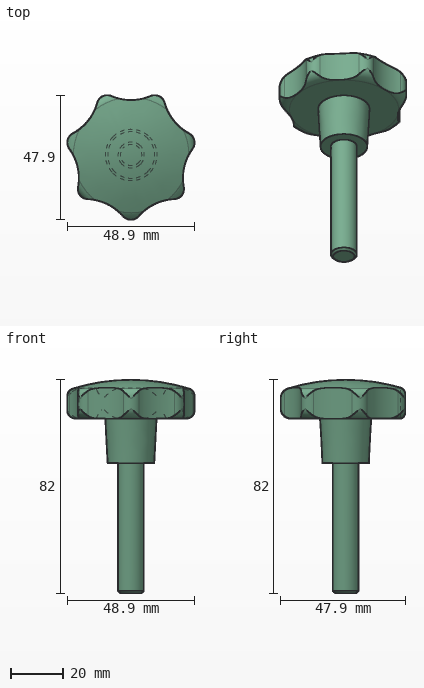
import cadquery as cq
import math


stud_diameter = 10.0
stud_length = 50.0
stud_chamfer = 0.92

hub_height = 17.0
hub_bottom_diameter = 18.0
hub_draft_angle = 3.0

head_height = 15.0
head_radius = 25.0
dome_radius = 75.0
rim_radius = 4.0

lobe_count = 7
lobe_tip_radius = 4.0
scallop_radius = 19.0
first_lobe_angle = -90.0

head_top = hub_height + head_height
lobe_pitch = 360.0 / lobe_count


def polar(radius, angle):
    """Point at a distance from the knob axis, with the angle in degrees."""
    return (radius * math.cos(math.radians(angle)), radius * math.sin(math.radians(angle)))


def point_towards(start, target, distance):
    """Point reached by moving a distance from start in the direction of target."""
    dx = target[0] - start[0]
    dy = target[1] - start[1]
    share = distance / math.hypot(dx, dy)
    return (start[0] + share * dx, start[1] + share * dy)


def make_stud():
    """Round stud with a chamfered free end, hanging below the hub."""
    stud = cq.Workplane("XY").circle(stud_diameter / 2).extrude(-stud_length)
    return stud.faces("<Z").chamfer(stud_chamfer)


def make_hub():
    """Conical hub that widens upwards to the underside of the head."""
    hub = cq.Workplane("XY").circle(hub_bottom_diameter / 2)
    return hub.extrude(hub_height, taper=-hub_draft_angle)


def make_head_blank():
    """Round domed head, with rim arcs tangent to the underside, the side and the dome."""
    rim_center_radius = head_radius - rim_radius
    dome_center_z = head_top - dome_radius
    dome_edge_angle = math.asin(rim_center_radius / (dome_radius - rim_radius))

    def dome_point(angle):
        return (dome_radius * math.sin(angle), dome_center_z + dome_radius * math.cos(angle))

    dome_edge = dome_point(dome_edge_angle)
    upper_rim_center_z = dome_edge[1] - rim_radius * math.cos(dome_edge_angle)
    lower_rim_center_z = hub_height + rim_radius

    return (
        cq.Workplane("XZ")
        .moveTo(0, hub_height)
        .lineTo(rim_center_radius, hub_height)
        .radiusArc((head_radius, lower_rim_center_z), -rim_radius)
        .lineTo(head_radius, upper_rim_center_z)
        .radiusArc(dome_edge, -rim_radius)
        .threePointArc(dome_point(dome_edge_angle / 2), (0, head_top))
        .close()
        .revolve(360, (0, 0), (0, 1))
    )


def make_lobe_prism():
    """Upright star prism: rounded lobe tips joined by tangent concave scallops."""
    half_pitch = lobe_pitch / 2
    tip_center_distance = head_radius - lobe_tip_radius
    along = tip_center_distance * math.cos(math.radians(half_pitch))
    across = tip_center_distance * math.sin(math.radians(half_pitch))
    scallop_center_distance = along + math.sqrt((scallop_radius + lobe_tip_radius) ** 2 - across**2)
    valley_distance = scallop_center_distance - scallop_radius

    def tangent_point(tip_angle, scallop_angle):
        tip_center = polar(tip_center_distance, tip_angle)
        scallop_center = polar(scallop_center_distance, scallop_angle)
        return point_towards(tip_center, scallop_center, lobe_tip_radius)

    start = tangent_point(first_lobe_angle, first_lobe_angle - half_pitch)
    outline = cq.Workplane("XY").workplane(offset=hub_height).moveTo(*start)
    for index in range(lobe_count):
        angle = first_lobe_angle + index * lobe_pitch
        valley_angle = angle + half_pitch
        outline = outline.threePointArc(polar(head_radius, angle), tangent_point(angle, valley_angle))
        next_start = tangent_point(angle + lobe_pitch, valley_angle)
        if index == lobe_count - 1:
            next_start = start
        outline = outline.threePointArc(polar(valley_distance, valley_angle), next_start)
    return outline.close().extrude(head_height)


head = make_head_blank().intersect(make_lobe_prism())
result = head.union(make_hub()).union(make_stud())